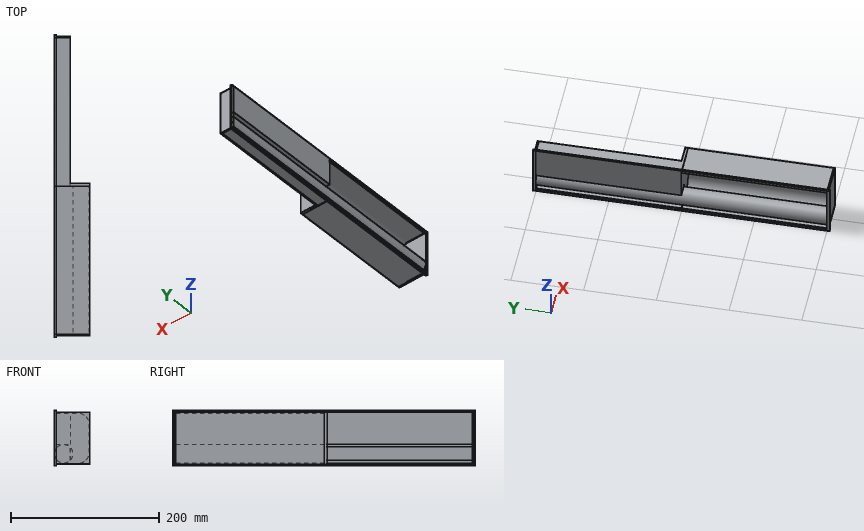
import cadquery as cq

LENGTH = 408.0
DEPTH = 48.0
HEIGHT = 75.0

FLANGE_THICKNESS = 3.0
FLANGE_OVERHANG = 2.5

CAP_LENGTH = 4.0
CAP_PLATE_THICKNESS = 2.0

WALL = 1.2
CAVITY_FILLET = 15.0
SHALLOW_DEPTH = 22.0
STEP_PLATE_THICKNESS = 4.0

TUBE_DIAMETER = 25.0
TUBE_CENTER_Z = -21.0

BODY_HEIGHT = HEIGHT - 2 * FLANGE_OVERHANG
CAVITY_HEIGHT = BODY_HEIGHT - 2 * WALL
CAVITY_DEPTH = DEPTH - WALL
HOUSING_END = LENGTH / 2 - CAP_LENGTH
SLOT_DEPTH = SHALLOW_DEPTH - WALL
TUBE_CENTER_X = TUBE_DIAMETER / 2
TUBE_TOP = TUBE_CENTER_Z + TUBE_DIAMETER / 2


def block(x_start, x_end, y_start, y_end, z_start, z_end):
    """Box between two opposite corners."""
    return cq.Workplane("XY").box(
        x_end - x_start, y_end - y_start, z_end - z_start, centered=False
    ).translate((x_start, y_start, z_start))


def full_section(depth, y_start, y_end):
    """Solid housing body of the given depth, with its front flange."""
    flange = block(0, FLANGE_THICKNESS, y_start, y_end, -HEIGHT / 2, HEIGHT / 2)
    body = block(0, depth, y_start, y_end, -BODY_HEIGHT / 2, BODY_HEIGHT / 2)
    return flange.union(body)


def make_deep_housing():
    """Open channel with rounded inner back corners."""
    cavity = block(0, CAVITY_DEPTH, -HOUSING_END, 0, -CAVITY_HEIGHT / 2, CAVITY_HEIGHT / 2)
    cavity = cavity.edges("|Y and >X").fillet(CAVITY_FILLET)
    return full_section(DEPTH, -HOUSING_END, 0).cut(cavity)


def make_shallow_housing():
    """Slim block over a lamp slot, with a plate that closes the deep channel."""
    housing = full_section(SHALLOW_DEPTH, 0, HOUSING_END)
    step_plate = block(
        0, DEPTH, 0, STEP_PLATE_THICKNESS, -BODY_HEIGHT / 2, BODY_HEIGHT / 2
    )
    lamp_slot = block(
        0, SLOT_DEPTH, 0, HOUSING_END, -CAVITY_HEIGHT / 2, TUBE_TOP
    )
    return housing.union(step_plate).cut(lamp_slot)


def make_end_cap(depth, side):
    """Flange strip and closing plate at one end; side is the sign of its Y."""
    plate_end = HOUSING_END + CAP_PLATE_THICKNESS
    strip = block(
        0, FLANGE_THICKNESS, HOUSING_END, LENGTH / 2, -HEIGHT / 2, HEIGHT / 2
    )
    plate = block(0, depth, HOUSING_END, plate_end, -BODY_HEIGHT / 2, BODY_HEIGHT / 2)
    cap = strip.union(plate)
    return cap if side > 0 else cap.mirror("XZ")


def make_lamp_tube():
    """Lamp between the end caps, flat-backed where it rests in the shallow slot."""
    tube = (
        cq.Workplane("XZ", origin=(TUBE_CENTER_X, HOUSING_END, TUBE_CENTER_Z))
        .circle(TUBE_DIAMETER / 2)
        .extrude(2 * HOUSING_END)
    )
    behind_slot = block(SLOT_DEPTH, DEPTH, 0, HOUSING_END, -HEIGHT / 2, HEIGHT / 2)
    return tube.cut(behind_slot)


deep_housing = make_deep_housing()
shallow_housing = make_shallow_housing()
lamp_tube = make_lamp_tube()
end_caps = [make_end_cap(depth, side) for depth, side in ((DEPTH, -1), (SHALLOW_DEPTH, 1))]

result = cq.Compound.makeCompound([
    deep_housing.val(),
    shallow_housing.val(),
    lamp_tube.val(),
    *[cap.val() for cap in end_caps],
])